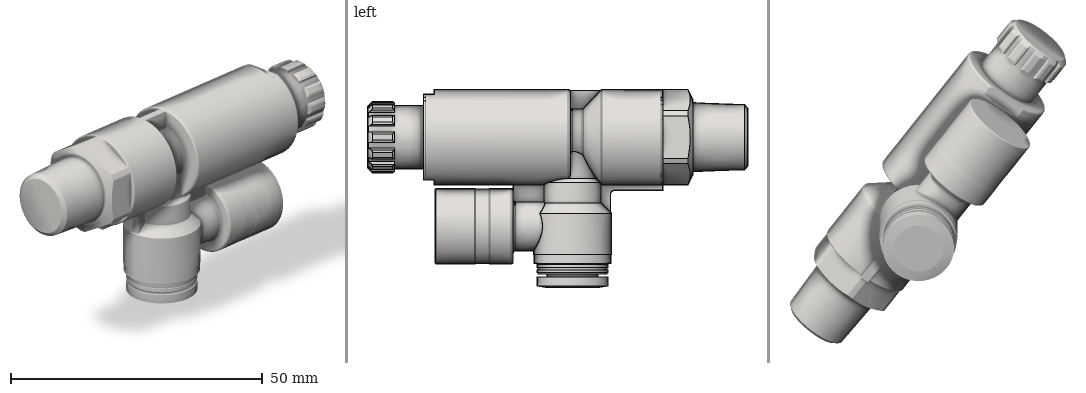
import cadquery as cq
import math


total_length = 75.6
total_height = 39.4

thread_chamfer = 0.7
thread_end = 10.95
hex_end = 16.9
collar_end = 29.1
cone_end = 32.8
body_start = 35.3
body_end = 64.5
knob_start = 70.2

body_radius = 19.0 / 2
thread_root_radius = 6.9
thread_tip_radius = 6.5
thread_face_radius = 5.7
hex_flats = 17.0
hex_chamfer_radius = 15.0 / 2
hex_chamfer_length = 1.0
neck_radius = 5.7
neck_fillet = 0.45
collar_round = 0.3
body_round = 0.45

match_tolerance = 0.01

flat_half_height = 8.55
flat_length = 2.1

stem_radius = 12.6 / 2
knob_radius = 14.1 / 2
stem_end_chamfer = 0.2
knob_end_chamfer = knob_radius - stem_radius + stem_end_chamfer
rib_count = 12
rib_width = 2.1
rib_root_radius = 5.7
rib_bevel_width = 0.45
rib_bevel_height = 0.2

port_y = 34.85
port_root_radius = 9.8 / 2
port_neck_radius = 5.75
port_neck_shoulder = -9.0
port_neck_top = port_neck_shoulder + port_neck_radius - port_root_radius
port_cone_top = -13.1
port_cone_bottom = -15.1
port_radius = 15.5 / 2
port_sleeve_radius = 7.6
port_sleeve_top = -23.3
port_sleeve_bottom = -25.1
release_radius = 14.1 / 2
release_groove_radius = 6.9
release_ridges = [(-25.3, -25.85), (-26.4, -26.9)]
release_top_bottom = -27.2
release_neck_radius = 10.1 / 2
flange_top = -27.75
flange_edge_bottom = -29.55
flange_face_radius = 4.9
port_bottom = body_radius - total_height

side_z = -17.7
side_stub_radius = 9.8 / 2
side_start = 46.65
side_end = 62.15
side_radius = 15.0 / 2
side_band_radius = 14.9 / 2
side_joint = 51.25
side_joint_taper = 0.2
side_band_end = 54.3
side_fillet = 0.45
side_end_round = 0.2

web_thickness = 1.6
web_top = 9.3
web_front_bottom = -10.6
web_front_end = 27.3
web_fillet = 0.75


def turned_on_y(profile):
    """Solid of revolution about the Y axis, from (radius, y) points."""
    start = profile[0][1]
    end = profile[-1][1]
    points = [(0, start)] + profile + [(0, end)]
    return cq.Workplane("XY").polyline(points).close().revolve(360, (0, 0, 0), (0, 1, 0))


def round_rim(solid, radius, y, rounding):
    """Round or fillet the circular edge of a turned solid that has this radius and Y station."""
    rims = solid.edges("%CIRCLE").filter(
        lambda edge: abs(edge.radius() - radius) < match_tolerance
        and abs(edge.arcCenter().y - y) < match_tolerance
    )
    return rims.fillet(rounding)


def web_plate(points):
    """Plate of web thickness centred on x = 0, from (y, z) points."""
    return cq.Workplane("YZ").polyline(points).close().extrude(web_thickness / 2, both=True)


def make_thread():
    return turned_on_y([
        (thread_face_radius, 0),
        (thread_tip_radius, thread_chamfer),
        (thread_root_radius, thread_end),
    ])


def make_hex():
    corner_diameter = hex_flats / math.cos(math.pi / 6)
    length = hex_end - thread_end
    prism = cq.Workplane("XZ", origin=(0, thread_end, 0)).polygon(6, corner_diameter).extrude(-length)
    prism = prism.rotate((0, 0, 0), (0, 1, 0), 90)
    envelope = turned_on_y([
        (hex_chamfer_radius, thread_end),
        (body_radius, thread_end + hex_chamfer_length),
        (body_radius, hex_end),
    ])
    return prism.intersect(envelope)


def make_body():
    body = turned_on_y([
        (body_radius, hex_end),
        (body_radius, collar_end),
        (neck_radius, cone_end),
        (neck_radius, body_start),
        (body_radius, body_start),
        (body_radius, body_end),
    ])
    body = round_rim(body, body_radius, hex_end, collar_round)
    body = round_rim(body, body_radius, collar_end, collar_round)
    body = round_rim(body, neck_radius, cone_end, neck_fillet)
    body = round_rim(body, neck_radius, body_start, neck_fillet)
    body = round_rim(body, body_radius, body_start, body_round)
    body = round_rim(body, body_radius, body_end, body_round)
    flat_y = body_end - flat_length / 2
    cut_height = body_radius
    for side in (1, -1):
        flat_z = side * (flat_half_height + cut_height / 2)
        flat_cut = cq.Workplane("XY").box(2 * body_radius, flat_length, cut_height)
        body = body.cut(flat_cut.translate((0, flat_y, flat_z)))
    return body


def make_knob():
    knob = cq.Workplane("XZ", origin=(0, body_end, 0)).circle(stem_radius).extrude(body_end - total_length)
    half_width = rib_width / 2
    half_top = half_width - rib_bevel_width
    bevel_radius = knob_radius - rib_bevel_height
    rib_length = total_length - knob_start
    rib = cq.Workplane("XZ", origin=(0, knob_start, 0)).polyline([
        (-half_width, rib_root_radius),
        (-half_width, bevel_radius),
        (-half_top, knob_radius),
        (half_top, knob_radius),
        (half_width, bevel_radius),
        (half_width, rib_root_radius),
    ]).close().extrude(-rib_length)
    inner_bevel = cq.Workplane("YZ").polyline([
        (knob_start, bevel_radius),
        (knob_start + rib_bevel_width, knob_radius),
        (knob_start, knob_radius),
    ]).close().extrude(rib_width, both=True)
    rib = rib.cut(inner_bevel)
    for index in range(rib_count):
        knob = knob.union(rib.rotate((0, 0, 0), (0, 1, 0), index * 360 / rib_count))
    return knob.intersect(turned_on_y([
        (body_radius, body_end),
        (body_radius, total_length - knob_end_chamfer - body_radius + knob_radius),
        (knob_radius - knob_end_chamfer, total_length),
    ]))


def make_vertical_port():
    profile = [
        (0, 0),
        (port_root_radius, 0),
        (port_root_radius, port_neck_top),
        (port_neck_radius, port_neck_shoulder),
        (port_neck_radius, port_cone_top),
        (port_radius, port_cone_bottom),
        (port_radius, port_sleeve_top),
        (port_sleeve_radius, port_sleeve_top),
        (port_sleeve_radius, port_sleeve_bottom),
        (release_groove_radius, port_sleeve_bottom),
    ]
    for ridge_top, ridge_bottom in release_ridges:
        profile += [
            (release_groove_radius, ridge_top),
            (release_radius, ridge_top),
            (release_radius, ridge_bottom),
            (release_groove_radius, ridge_bottom),
        ]
    profile += [
        (release_groove_radius, release_top_bottom),
        (release_neck_radius, release_top_bottom),
        (release_neck_radius, flange_top),
        (release_radius, flange_top),
        (release_radius, flange_edge_bottom),
        (flange_face_radius, port_bottom),
        (0, port_bottom),
    ]
    port = cq.Workplane("XZ").polyline(profile).close().revolve(360, (0, 0, 0), (0, 1, 0))
    return port.translate((0, port_y, 0))


def make_side_port():
    port = turned_on_y([
        (side_stub_radius, port_y),
        (side_stub_radius, side_start),
        (side_radius, side_start),
        (side_radius, side_joint),
        (side_band_radius, side_joint + side_joint_taper),
        (side_band_radius, side_band_end),
        (side_radius, side_band_end),
        (side_radius, side_end),
    ])
    port = round_rim(port, side_stub_radius, side_start, side_fillet)
    port = round_rim(port, side_radius, side_start, side_fillet)
    port = round_rim(port, side_radius, side_end, side_end_round)
    return port.translate((0, 0, side_z))


def make_webs():
    upper = web_plate([
        (collar_end, 0),
        (collar_end, web_top),
        (body_start, web_top),
        (body_start, 0),
    ])
    front = web_plate([
        (hex_end, 0),
        (hex_end, web_front_bottom),
        (web_front_end, web_front_bottom),
        (web_front_end, port_cone_bottom),
        (port_y, port_cone_bottom),
        (port_y, 0),
    ])
    inner_corner = cq.selectors.NearestToPointSelector((0, web_front_end, web_front_bottom))
    front = front.edges("|X").edges(inner_corner).fillet(web_fillet)
    rear = web_plate([
        (port_y, 0),
        (port_y, side_z),
        (side_start, side_z),
        (side_start, 0),
    ])
    return upper.union(front).union(rear)


result = (
    make_body()
    .union(make_hex())
    .union(make_thread())
    .union(make_knob())
    .union(make_vertical_port())
    .union(make_side_port())
    .union(make_webs())
)